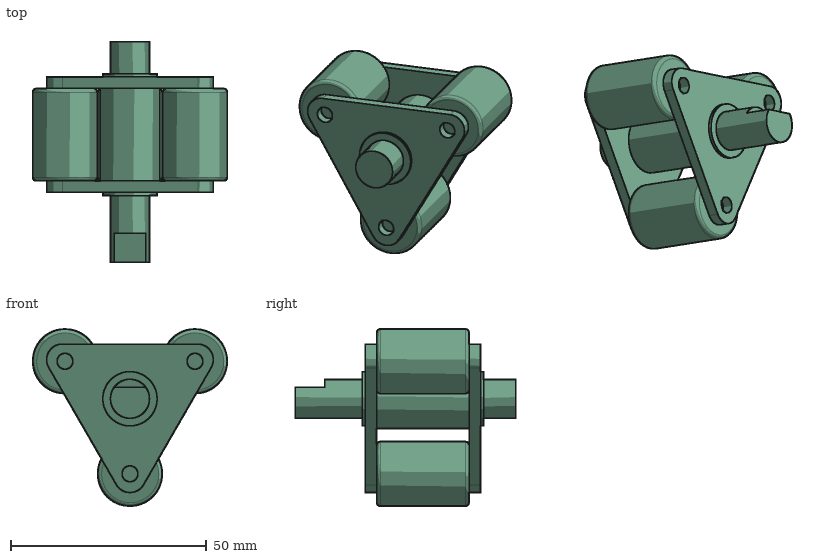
import cadquery as cq
import math

roller_count = 3
roller_diameter = 16.55
roller_length = 23.65
roller_edge_fillet = 0.95
roller_circle_radius = 19.2

plate_thickness = 2.95
plate_corner_circle_radius = 20.0
plate_corner_radius = 4.0
plate_hole_diameter = 4.05

hub_diameter = 15.25
collar_diameter = 13.9
collar_thickness = 0.8

shaft_diameter = 10.0
shaft_length = 56.45
rear_shaft_length = 8.25
flat_length = 7.5
flat_depth = 2.05

plate_inner_y = roller_length / 2
plate_outer_y = plate_inner_y + plate_thickness
collar_end_y = plate_outer_y + collar_thickness
shaft_rear_y = collar_end_y + rear_shaft_length
shaft_front_y = shaft_rear_y - shaft_length


def corner_positions(radius):
    """Evenly spaced (x, z) points on a circle about the shaft, the first one straight below it."""
    angles = [-math.pi / 2 + 2 * math.pi * i / roller_count for i in range(roller_count)]
    return [(radius * math.cos(angle), radius * math.sin(angle)) for angle in angles]


roller_positions = corner_positions(roller_circle_radius)


def cylinder(diameter, y_start, y_end, centers=((0, 0),)):
    """Cylinders along Y between two Y positions, with axes at the given (x, z) centers."""
    plane = cq.Workplane("XZ", origin=(0, y_end, 0))
    return plane.pushPoints(centers).circle(diameter / 2).extrude(y_end - y_start)


def make_plate(y_start):
    """Rounded triangular side plate with one hole facing each roller."""
    y_end = y_start + plate_thickness
    half_corner_angle = math.pi / roller_count / 2
    sharp_radius = plate_corner_circle_radius + plate_corner_radius / math.sin(half_corner_angle)
    plate = (
        cq.Workplane("XZ", origin=(0, y_end, 0))
        .polyline(corner_positions(sharp_radius))
        .close()
        .extrude(plate_thickness)
        .edges("|Y")
        .fillet(plate_corner_radius)
    )
    return plate.cut(cylinder(plate_hole_diameter, y_start, y_end, roller_positions))


def make_shaft():
    """Round shaft with a flat on top of its front end."""
    shaft = cylinder(shaft_diameter, shaft_front_y, shaft_rear_y)
    flat_z = shaft_diameter / 2 - flat_depth
    flat_cutter = (
        cq.Workplane("XY")
        .box(shaft_diameter, flat_length, flat_depth, centered=(True, False, False))
        .translate((0, shaft_front_y, flat_z))
    )
    return shaft.cut(flat_cutter)


def make_carrier():
    """Two side plates joined by the hub, with outer collars and the shaft in one piece."""
    hub = cylinder(hub_diameter, -plate_inner_y, plate_inner_y)
    collars = cylinder(collar_diameter, -collar_end_y, collar_end_y)
    front_plate = make_plate(-plate_outer_y)
    rear_plate = make_plate(plate_inner_y)
    return hub.union(front_plate).union(rear_plate).union(collars).union(make_shaft())


def make_roller(position):
    """Plain roller with rounded rims, filling the gap between the plates."""
    roller = cylinder(roller_diameter, -plate_inner_y, plate_inner_y, [position])
    return roller.edges("%CIRCLE").fillet(roller_edge_fillet)


carrier = make_carrier()
rollers = [make_roller(position) for position in roller_positions]

result = cq.Compound.makeCompound([carrier.val(), *[roller.val() for roller in rollers]])